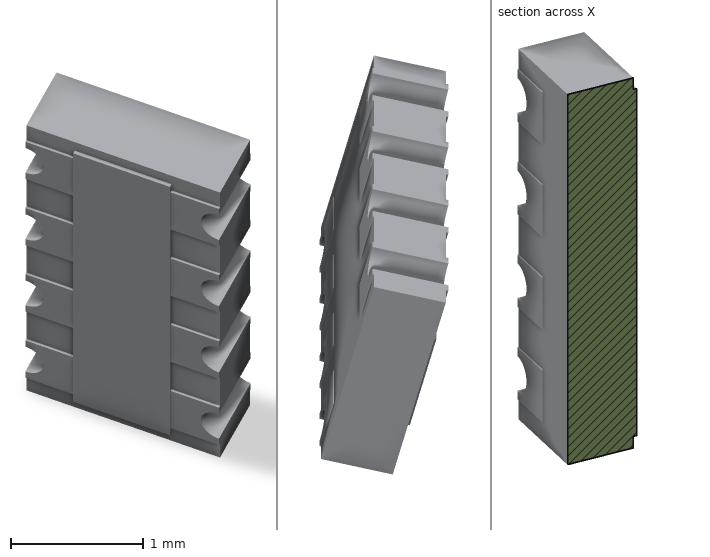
import cadquery as cq


width = 1.6
thickness = 0.6
length = 3.2

cover_height = 0.03
front_pad_height = 0.02
back_pad_height = 0.01
front_y = -thickness / 2
body_front_y = front_y + cover_height
body_back_y = thickness / 2 - back_pad_height

cover_width = width / 2
cover_end_margin = 0.1
cover_length = length - 2 * cover_end_margin

terminals_per_side = 4
terminal_pitch = length / terminals_per_side
pad_length = 0.45
pad_width = (width - cover_width) / 2
notch_radius = 0.15


def block(size_x, size_z, y_start, y_end, center_x=0, center_z=0):
    """Box spanning y_start to y_end, centred at the given X and Z."""
    center_y = (y_start + y_end) / 2
    return cq.Workplane("XY").box(size_x, y_end - y_start, size_z).translate((center_x, center_y, center_z))


def terminal_pads(side, center_z):
    """Front and back pads of one terminal, joined through the body edge."""
    center_x = side * (width - pad_width) / 2
    pad_front_y = body_front_y - front_pad_height
    pad_back_y = body_back_y + back_pad_height
    return block(pad_width, pad_length, pad_front_y, pad_back_y, center_x, center_z)


def edge_notch(side, center_z):
    """Half-round castellation running through the whole thickness."""
    return (
        cq.Workplane("XZ")
        .center(side * width / 2, center_z)
        .circle(notch_radius)
        .extrude(thickness / 2, both=True)
    )


body = block(width, length, body_front_y, body_back_y)
cover = block(cover_width, cover_length, front_y, body_front_y)
result = body.union(cover)

terminal_sites = [
    (side, (index - (terminals_per_side - 1) / 2) * terminal_pitch)
    for side in (-1, 1)
    for index in range(terminals_per_side)
]

for side, center_z in terminal_sites:
    result = result.union(terminal_pads(side, center_z))

for side, center_z in terminal_sites:
    result = result.cut(edge_notch(side, center_z))